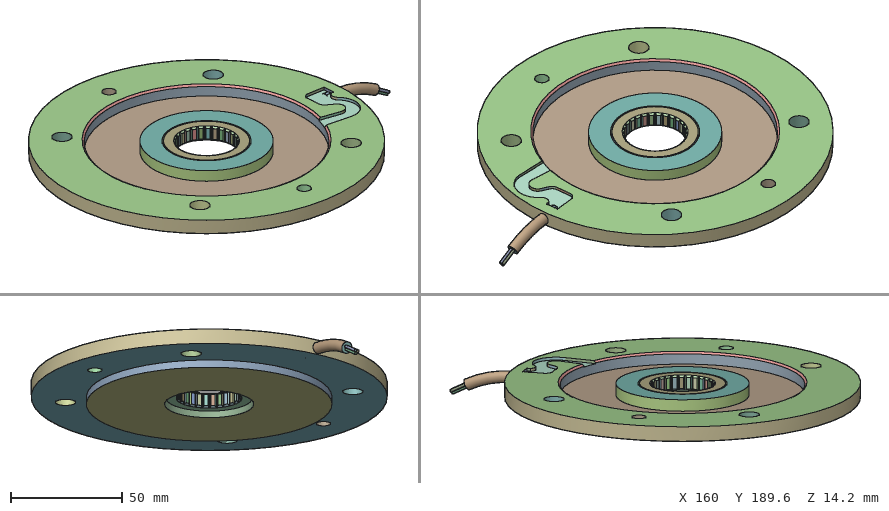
import cadquery as cq
import math

flange_dia = 160.0
flange_thickness = 6.8
pilot_dia = 110.4
pilot_height = 3.5
flange_top = pilot_height + flange_thickness

recess_dia = 110
recess_depth = 5.7
recess_chamfer = 1.0
recess_floor = flange_top - recess_depth

boss_dia = 60.0
boss_drop = 0.4
boss_top = flange_top - boss_drop
hub_clearance_dia = 40.0

bolt_circle_dia = 130.0
bolt_hole_count = 4
bolt_hole_dia = 9.1
bolt_start_angle = 45
dowel_hole_count = 2
dowel_hole_dia = 6.5
dowel_start_angle = 0

channel_depth = 1.3
channel_half_width = 3.2
channel_head_end = 74.3
bend_x = 16.0
bend_outer_radius = 10.6
bend_inner_radius = 4.0
corner_radius = 3.2
dip_radius = 3.5
dip_direction = 135
bend_y = 64.7
s_bend_angle = 30
outer_wall_tilt = 5
inner_wall_tilt = 10
outlet_length = 16.1

hub_dia = 38.7
hub_height = 7.0
spline_teeth = 28
spline_minor_dia = 27.9
spline_major_dia = 29.2
bore_rim_dia = 29.5
bore_chamfer = (bore_rim_dia - spline_minor_dia) / 2
tooth_tip_fraction = 0.6
tooth_gap_fraction = 0.15

cable_radius = 2.7
cable_x = 0.4
cable_cover = 1.1
cable_z = flange_top - cable_cover - cable_radius
cable_inner_end = 71.7
cable_bend_start = flange_dia / 2
cable_bend_radius = 47.2
cable_bend_angle = 27.4
cable_bend_tilt = 4
wire_count = 3
wire_radius = 0.66
wire_length = 8.3


def polar(center, radius, degrees):
    angle = math.radians(degrees)
    return (center[0] + radius * math.cos(angle), center[1] + radius * math.sin(angle))


def disc(diameter, bottom, top):
    return cq.Workplane("XY").workplane(offset=bottom).circle(diameter / 2).extrude(top - bottom)


def make_hole_ring(count, diameter, start_angle):
    """Cutters for equally spaced through holes on the bolt circle."""
    centers = cq.Workplane("XY").polarArray(bolt_circle_dia / 2, start_angle, 360, count)
    return centers.circle(diameter / 2).extrude(flange_top)


def make_cone(start_z, start_dia, height, end_dia):
    """Cone frustum on the Z axis; a negative height runs downward."""
    start = cq.Workplane("XY").workplane(offset=start_z).circle(start_dia / 2)
    return start.workplane(offset=height).circle(end_dia / 2).loft()


def make_channel():
    """Cutter for the S-shaped channel that leads the wires from the cable to the recess."""
    bend = (bend_x, bend_y)
    channel_bottom = bend_y - corner_radius

    dip = polar(bend, bend_outer_radius + dip_radius, dip_direction)
    dip_offset = dip[0] - channel_half_width
    dip_start = (channel_half_width, dip[1] - math.sqrt(dip_radius**2 - dip_offset**2))

    corner_spacing = (bend_inner_radius + corner_radius) / math.cos(math.radians(s_bend_angle))
    corner = (bend_x - corner_spacing, bend_y)
    head_corner = (corner_radius - channel_half_width, bend_y)

    outer_end = polar(bend, bend_outer_radius, -outer_wall_tilt)
    inner_end = polar(bend, bend_inner_radius, -inner_wall_tilt)
    inner_start_angle = 180 - s_bend_angle
    inner_start = polar(bend, bend_inner_radius, inner_start_angle)
    outer_middle = polar(bend, bend_outer_radius, (dip_direction - outer_wall_tilt) / 2)
    inner_middle = polar(bend, bend_inner_radius, (inner_start_angle - inner_wall_tilt) / 2)

    outline = (
        cq.Workplane("XY")
        .workplane(offset=flange_top - channel_depth)
        .moveTo(-channel_half_width, channel_head_end)
        .lineTo(channel_half_width, channel_head_end)
        .lineTo(*dip_start)
        .threePointArc(polar(dip, dip_radius, -90), polar(dip, dip_radius, dip_direction - 180))
        .threePointArc(outer_middle, outer_end)
        .lineTo(*polar(outer_end, outlet_length, -90 - outer_wall_tilt))
        .lineTo(*polar(inner_end, outlet_length, -90 - inner_wall_tilt))
        .lineTo(*inner_end)
        .threePointArc(inner_middle, inner_start)
        .lineTo(*polar(corner, corner_radius, -s_bend_angle))
        .threePointArc(polar(corner, corner_radius, -(s_bend_angle + 90) / 2), (corner[0], channel_bottom))
        .lineTo(head_corner[0], channel_bottom)
        .threePointArc(polar(head_corner, corner_radius, -135), (-channel_half_width, bend_y))
        .close()
    )
    return outline.extrude(channel_depth)


def make_cable():
    """Sheathed cable that leaves the flange along +Y and bends down, with its bare wires at the end."""
    bend_center_z = cable_z - cable_bend_radius
    bend_mid = polar((cable_bend_start, bend_center_z), cable_bend_radius, 90 - cable_bend_angle / 2)
    bend_end = polar((cable_bend_start, bend_center_z), cable_bend_radius, 90 - cable_bend_angle)

    path = (
        cq.Workplane("YZ")
        .moveTo(cable_inner_end, cable_z)
        .lineTo(cable_bend_start, cable_z)
        .threePointArc(bend_mid, bend_end)
    )
    sheath_start = cq.Plane(origin=(0, cable_inner_end, cable_z), xDir=(1, 0, 0), normal=(0, 1, 0))
    cable = cq.Workplane(sheath_start).circle(cable_radius).sweep(path)

    angle = math.radians(cable_bend_angle)
    sheath_end = cq.Plane(
        origin=(0, *bend_end), xDir=(1, 0, 0), normal=(0, math.cos(angle), -math.sin(angle))
    )
    wire_circle_radius = wire_radius / math.sin(math.pi / wire_count)
    for index in range(wire_count):
        center = polar((0, 0), wire_circle_radius, 90 + index * 360 / wire_count)
        wire = cq.Workplane(sheath_end).center(*center).circle(wire_radius).extrude(wire_length)
        cable = cable.union(wire)
    tilted_cable = cable.rotate((0, 0, cable_z), (0, 1, cable_z), -cable_bend_tilt)
    return tilted_cable.translate((cable_x, 0, 0))


def make_housing(cable):
    """Flange with a pilot below, a ring-shaped recess around the boss, and room for the cable."""
    housing = disc(pilot_dia, 0, pilot_height).union(disc(flange_dia, pilot_height, flange_top))

    rim_dia = recess_dia + 2 * recess_chamfer
    recess_rim = make_cone(flange_top, rim_dia, -recess_chamfer, recess_dia)
    recess = disc(recess_dia, recess_floor, flange_top).union(recess_rim)
    boss = disc(boss_dia, recess_floor, boss_top)
    housing = housing.cut(recess).union(boss).cut(disc(hub_clearance_dia, 0, flange_top))

    bolt_holes = make_hole_ring(bolt_hole_count, bolt_hole_dia, bolt_start_angle)
    dowel_holes = make_hole_ring(dowel_hole_count, dowel_hole_dia, dowel_start_angle)
    return housing.cut(bolt_holes).cut(dowel_holes).cut(make_channel()).cut(cable)


def make_hub():
    """Ring with straight-flanked spline teeth in its bore, flush with the boss and clear of it all round."""
    pitch = 360 / spline_teeth
    half_tip = pitch * tooth_tip_fraction / 2
    half_gap = pitch * tooth_gap_fraction / 2
    bore_points = []
    for tooth in range(spline_teeth):
        angle = tooth * pitch + pitch / 2
        bore_points.append(polar((0, 0), spline_minor_dia / 2, angle - half_tip))
        bore_points.append(polar((0, 0), spline_minor_dia / 2, angle + half_tip))
        bore_points.append(polar((0, 0), spline_major_dia / 2, angle + pitch / 2 - half_gap))
        bore_points.append(polar((0, 0), spline_major_dia / 2, angle + pitch / 2 + half_gap))
    hub_bottom = boss_top - hub_height
    bore = cq.Workplane("XY").workplane(offset=hub_bottom).polyline(bore_points).close().extrude(hub_height)
    hub = disc(hub_dia, hub_bottom, boss_top).cut(bore)

    for end_z, inward in ((boss_top, -1), (hub_bottom, 1)):
        end_cone = make_cone(end_z, bore_rim_dia, inward * bore_chamfer, spline_minor_dia)
        hub = hub.cut(end_cone)
    return hub


cable = make_cable()
housing = make_housing(cable)
hub = make_hub()

result = cq.Compound.makeCompound([housing.val(), hub.val(), cable.val()])